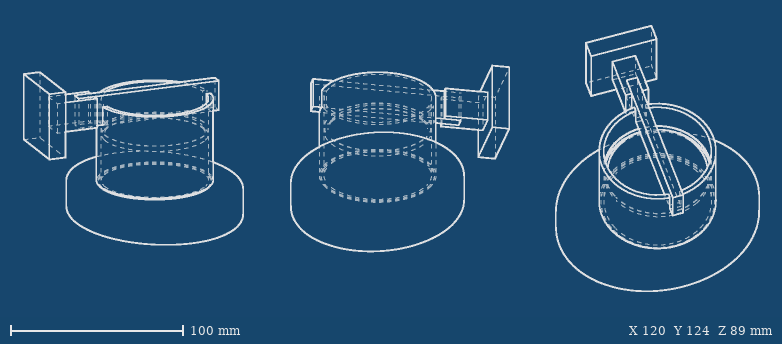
import cadquery as cq

base_length = 120.0
base_width = 100.0
base_height = 20.0
base_top_fillet = 2.0
base_bottom_fillet = 3.0
step_radius = 33.0
step_height = 1.05

cup_radius = 34.0
cup_bore_radius = 31.2
cup_height = 50.0
cup_bottom = base_height + step_height
cup_top = cup_bottom + cup_height

plug_depth = 18.0
plug_top = cup_top - plug_depth
shoulder_radius = 2.0
lip_thickness = 0.2
lip_drop = 0.6
lip_top = plug_top - lip_drop
lip_inner_radius = cup_bore_radius - lip_thickness
plug_face_radius = lip_inner_radius - 2 * shoulder_radius

bar_thickness = 6.5
bar_height = 18.0
bar_bottom = 60.0
bar_overhang = 5.0
bar_back = cup_radius + bar_overhang

block_width = 14.0
block_length = 25.0
fork_depth = 9.9
block_back = -bar_back
block_front = block_back - block_length
bar_front = block_back - fork_depth

plate_side = 40.0
plate_thickness = 10.0
plate_front = block_front - plate_thickness
plate_bottom = bar_bottom + (bar_height - plate_side) / 2


def make_slab(width, y_front, y_back, z_bottom, height):
    """Rectangular slab centred on X, between two Y positions."""
    slab = cq.Workplane("XY").box(width, y_back - y_front, height, centered=(True, False, False))
    return slab.translate((0, y_front, z_bottom))


def make_base():
    oval = cq.Workplane("XY").ellipse(base_length / 2, base_width / 2).extrude(base_height)
    oval = oval.faces(">Z").edges().fillet(base_top_fillet)
    oval = oval.faces("<Z").edges().fillet(base_bottom_fillet)
    step = cq.Workplane("XY").workplane(offset=base_height).circle(step_radius).extrude(step_height)
    return oval.union(step)


def make_bar():
    return make_slab(bar_thickness, bar_front, bar_back, bar_bottom, bar_height)


def make_cup():
    """Tube with two rim slots that hold the bar."""
    tube = cq.Workplane("XY").workplane(offset=cup_bottom)
    tube = tube.circle(cup_radius).circle(cup_bore_radius).extrude(cup_height)
    return tube.cut(make_bar())


def make_plug():
    """Solid of revolution: a convex round, then a concave one running down to the foot of the lip."""
    shoulder_mid_radius = plug_face_radius + shoulder_radius
    shoulder_mid_z = plug_top - shoulder_radius
    shoulder_bottom_z = shoulder_mid_z - shoulder_radius
    profile = (
        cq.Workplane("XZ")
        .moveTo(0, cup_bottom)
        .lineTo(0, plug_top)
        .lineTo(plug_face_radius, plug_top)
        .radiusArc((shoulder_mid_radius, shoulder_mid_z), shoulder_radius)
        .radiusArc((lip_inner_radius, shoulder_bottom_z), -shoulder_radius)
        .lineTo(lip_inner_radius, lip_top)
        .lineTo(cup_bore_radius, lip_top)
        .lineTo(cup_bore_radius, cup_bottom)
        .close()
    )
    return profile.revolve(360, (0, 0, 0), (0, 1, 0))


def make_block():
    """Block with a full-height notch that receives the end of the bar."""
    block = make_slab(block_width, block_front, block_back, bar_bottom, bar_height)
    return block.cut(make_bar())


def make_plate():
    return make_slab(plate_side, plate_front, block_front, plate_bottom, plate_side)


base = make_base()
cup = make_cup()
plug = make_plug()
bar = make_bar()
block = make_block()
plate = make_plate()

result = cq.Compound.makeCompound(
    [base.val(), cup.val(), plug.val(), bar.val(), block.val(), plate.val()]
)